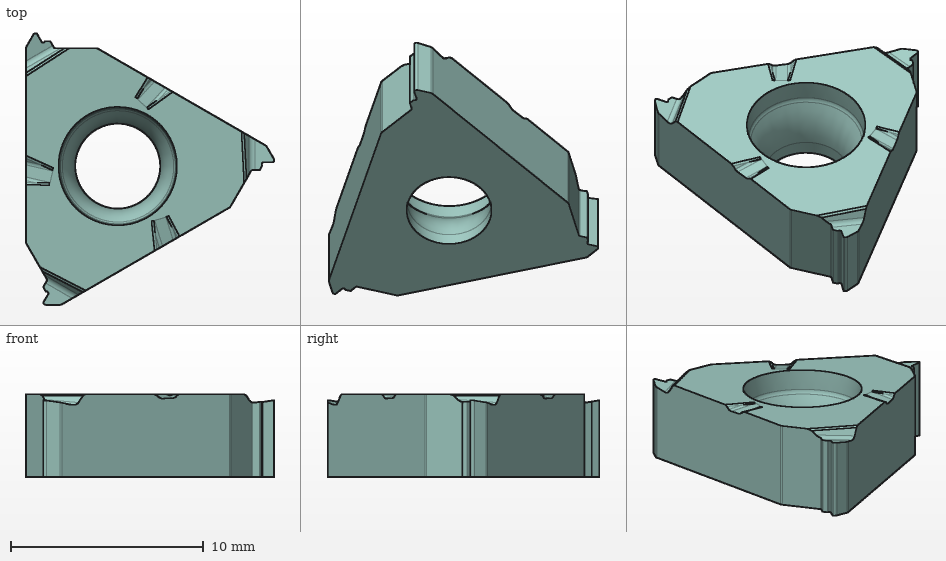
import cadquery as cq
import math

CORNERS = 3
HEIGHT = 4.31
APOTHEM = 4.77
CLEARANCE = 0.7

RELIEF_Y = 6.12
TIP_Y = 6.9
TIP_RELIEF = 7.2
FLANK_ANGLE = 60.0
TIP_END_X = -4.2
VALLEY_Y = 6.42
VALLEY_END_X = -3.82
STEP_Y = 6.49
STEP_START_X = -3.76
STEP_END_X = -3.5
BODY_RADIUS = 0.21
TIP_RADIUS = 0.17
CREST_RADIUS = 0.03
VALLEY_RADIUS = 0.04
STEP_FOOT_RADIUS = 0.07

HOLE_RADIUS = 4.4 / 2
SEAT_RADIUS = 3.07
TAPER_END_RADIUS = 2.99
TAPER_DEPTH = 1.02
BELL_START_RADIUS = 2.89
BELL_START_DEPTH = 1.24
BLEND_RADIUS = 0.5
BELL_RADIUS = 4.09

GROOVE_TILT = 4.4
GROOVE_WALL_ANGLE = 57.0
GROOVE_WALL_X = 6.8
GROOVE_WALL_DEPTH = 0.31
GROOVE_RADIUS = 0.32
GROOVE_FLOOR_ANGLE = 8.7
GROOVE_END_X = 9.16
GROOVE_REACH = 3.52
GROOVE_BREAK_WIDTH = 0.08
GROOVE_BREAK_DEPTH = 0.08

NOTCH_HEADING = -13.0
NOTCH_TILT = 9.5
NOTCH_CENTER_Y = -0.24
NOTCH_FLOOR_HALF_WIDTH = 0.41
NOTCH_DEPTH = 0.23
NOTCH_WALL_ANGLE = 40.0
NOTCH_RADIUS = 0.28
NOTCH_BREAK_WIDTH = 0.05
NOTCH_BREAK_DEPTH = 0.05


def sin(angle):
    return math.sin(math.radians(angle))


def cos(angle):
    return math.cos(math.radians(angle))


def tan(angle):
    return math.tan(math.radians(angle))


def turn(x, y, angle):
    """Rotate a plan point about the hole axis."""
    return x * cos(angle) - y * sin(angle), x * sin(angle) + y * cos(angle)


def corner_angles():
    return [360 / CORNERS * i for i in range(CORNERS)]


def corner_outline():
    """Outline of one corner, clockwise, as (x, y, blend radius)."""
    side_end_y = (TIP_RELIEF - APOTHEM * sin(FLANK_ANGLE)) / cos(FLANK_ANGLE)
    tip_start_x = -APOTHEM + (TIP_Y - side_end_y) / tan(FLANK_ANGLE)
    valley_start_x = TIP_END_X + (TIP_Y - VALLEY_Y) / tan(FLANK_ANGLE)
    step_foot_x = STEP_END_X + (STEP_Y - RELIEF_Y) / tan(FLANK_ANGLE)
    next_side_normal = 180 - 360 / CORNERS
    next_side_x = (APOTHEM - RELIEF_Y * sin(next_side_normal)) / cos(next_side_normal)
    return [
        (-APOTHEM, side_end_y, BODY_RADIUS),
        (tip_start_x, TIP_Y, TIP_RADIUS),
        (TIP_END_X, TIP_Y, CREST_RADIUS),
        (valley_start_x, VALLEY_Y, VALLEY_RADIUS),
        (VALLEY_END_X, VALLEY_Y, VALLEY_RADIUS),
        (STEP_START_X, STEP_Y, CREST_RADIUS),
        (STEP_END_X, STEP_Y, CREST_RADIUS),
        (step_foot_x, RELIEF_Y, STEP_FOOT_RADIUS),
        (next_side_x, RELIEF_Y, BODY_RADIUS),
    ]


def make_blank():
    """Prism with the full insert outline and its blended upright edges."""
    outline = []
    for angle in corner_angles():
        for x, y, radius in corner_outline():
            outline.append((*turn(x, y, -angle), radius))
    blank = cq.Workplane("XY").polyline([(x, y) for x, y, _ in outline]).close().extrude(HEIGHT)
    for x, y, radius in outline:
        upright = cq.selectors.NearestToPointSelector((x, y, HEIGHT / 2))
        blank = blank.edges(upright).fillet(radius)
    return blank


def blend_midpoint(start, end, radius):
    """Middle of the arc between two points, bulging to the right of start -> end."""
    dx, dy = end[0] - start[0], end[1] - start[1]
    chord = math.hypot(dx, dy)
    bulge = radius - math.sqrt(radius ** 2 - chord ** 2 / 4)
    return (start[0] + end[0]) / 2 + bulge * dy / chord, (start[1] + end[1]) / 2 - bulge * dx / chord


def make_screw_seat():
    """Revolved cutter: tapered wall, concave blend, convex bell mouth, straight hole."""
    bell_angle = math.acos(1 - (BELL_START_RADIUS - HOLE_RADIUS) / BELL_RADIUS)
    bell_end_depth = BELL_START_DEPTH + BELL_RADIUS * math.sin(bell_angle)
    taper_end = (TAPER_END_RADIUS, HEIGHT - TAPER_DEPTH)
    bell_start = (BELL_START_RADIUS, HEIGHT - BELL_START_DEPTH)
    bell_end = (HOLE_RADIUS, HEIGHT - bell_end_depth)
    return (
        cq.Workplane("XZ")
        .moveTo(0, HEIGHT)
        .lineTo(SEAT_RADIUS, HEIGHT)
        .lineTo(*taper_end)
        .threePointArc(blend_midpoint(bell_start, taper_end, BLEND_RADIUS), bell_start)
        .threePointArc(blend_midpoint(bell_start, bell_end, BELL_RADIUS), bell_end)
        .lineTo(HOLE_RADIUS, 0)
        .lineTo(0, 0)
        .close()
        .revolve(360, (0, 0), (0, 1))
    )


def section_plane(x, y, heading, tilt):
    """Plane at the top face facing along a plan heading and rising by tilt.

    Its local X is horizontal, to the left of the heading; its local Y points up.
    """
    return cq.Plane(
        origin=(x, y, HEIGHT),
        xDir=(-sin(heading), cos(heading), 0),
        normal=(cos(heading) * cos(tilt), sin(heading) * cos(tilt), sin(tilt)),
    )


def make_edge_break(x, y, heading, length, side, wall_angle, width, depth):
    """Facet where a wall reaches the top face along a horizontal line from (x, y).

    side is +1 when the top face lies to the left of the heading, -1 when to the right.
    """
    facet_foot = -side * depth / tan(wall_angle)
    return (
        cq.Workplane(section_plane(x, y, heading, 0))
        .polyline([(side * width, 0), (facet_foot, -depth), (facet_foot, 0)])
        .close()
        .extrude(length)
    )


def make_chip_groove():
    """Tilted groove that lowers the tooth at the corner pointing to +X."""
    floor_start_x = GROOVE_WALL_X + GROOVE_RADIUS * (sin(GROOVE_WALL_ANGLE) + sin(GROOVE_FLOOR_ANGLE))
    floor_start_z = -GROOVE_WALL_DEPTH - GROOVE_RADIUS * (cos(GROOVE_FLOOR_ANGLE) - cos(GROOVE_WALL_ANGLE))
    floor_end_z = floor_start_z + (GROOVE_END_X - floor_start_x) * tan(GROOVE_FLOOR_ANGLE)
    wall_foot = (GROOVE_WALL_X, -GROOVE_WALL_DEPTH)
    floor_start = (floor_start_x, floor_start_z)
    wall_head_x = GROOVE_WALL_X - (GROOVE_WALL_DEPTH + CLEARANCE) / tan(GROOVE_WALL_ANGLE)
    groove = (
        cq.Workplane(section_plane(0, 0, -90, GROOVE_TILT))
        .moveTo(wall_head_x, CLEARANCE)
        .lineTo(*wall_foot)
        .threePointArc(blend_midpoint(wall_foot, floor_start, GROOVE_RADIUS), floor_start)
        .lineTo(GROOVE_END_X, floor_end_z)
        .lineTo(GROOVE_END_X, CLEARANCE)
        .close()
        .extrude(GROOVE_REACH, both=True)
    )
    top_line_x = GROOVE_WALL_X - GROOVE_WALL_DEPTH / tan(GROOVE_WALL_ANGLE)
    drift = tan(GROOVE_TILT) / tan(GROOVE_WALL_ANGLE)
    edge_break = make_edge_break(
        top_line_x - drift * GROOVE_REACH,
        GROOVE_REACH,
        -90 + math.degrees(math.atan(drift)),
        2 * GROOVE_REACH,
        -1,
        GROOVE_WALL_ANGLE,
        GROOVE_BREAK_WIDTH,
        GROOVE_BREAK_DEPTH,
    )
    return groove.union(edge_break)


def make_side_notch():
    """Notch that starts at the side X = -APOTHEM and runs out in the top face."""
    section = section_plane(-APOTHEM, NOTCH_CENTER_Y, NOTCH_HEADING, NOTCH_TILT)
    section_depth = NOTCH_DEPTH * cos(NOTCH_TILT)
    run_out = NOTCH_DEPTH / sin(NOTCH_TILT)
    foot = NOTCH_FLOOR_HALF_WIDTH
    head = foot + (section_depth + CLEARANCE) / tan(NOTCH_WALL_ANGLE)
    notch = (
        cq.Workplane(section)
        .workplane(offset=-CLEARANCE)
        .polyline([(head, CLEARANCE), (foot, -section_depth), (-foot, -section_depth), (-head, CLEARANCE)])
        .close()
        .extrude(run_out + 2 * CLEARANCE)
    )
    for side in (1, -1):
        foot_point = section.toWorldCoords((side * foot, -section_depth, run_out / 2))
        notch = notch.edges(cq.selectors.NearestToPointSelector(foot_point)).fillet(NOTCH_RADIUS)

    closing_angle = math.degrees(math.atan(tan(NOTCH_TILT) / tan(NOTCH_WALL_ANGLE)))
    top_half_width = foot + section_depth / tan(NOTCH_WALL_ANGLE)
    for side in (1, -1):
        heading = NOTCH_HEADING - side * closing_angle
        start_x = -APOTHEM - side * top_half_width * sin(NOTCH_HEADING)
        start_y = NOTCH_CENTER_Y + side * top_half_width * cos(NOTCH_HEADING)
        edge_break = make_edge_break(
            start_x - CLEARANCE * cos(heading),
            start_y - CLEARANCE * sin(heading),
            heading,
            CLEARANCE + run_out,
            side,
            NOTCH_WALL_ANGLE,
            NOTCH_BREAK_WIDTH,
            NOTCH_BREAK_DEPTH,
        )
        notch = notch.union(edge_break)
    return notch


result = make_blank().cut(make_screw_seat())
for cutter in (make_chip_groove(), make_side_notch()):
    for angle in corner_angles():
        result = result.cut(cutter.rotate((0, 0, 0), (0, 0, 1), angle))